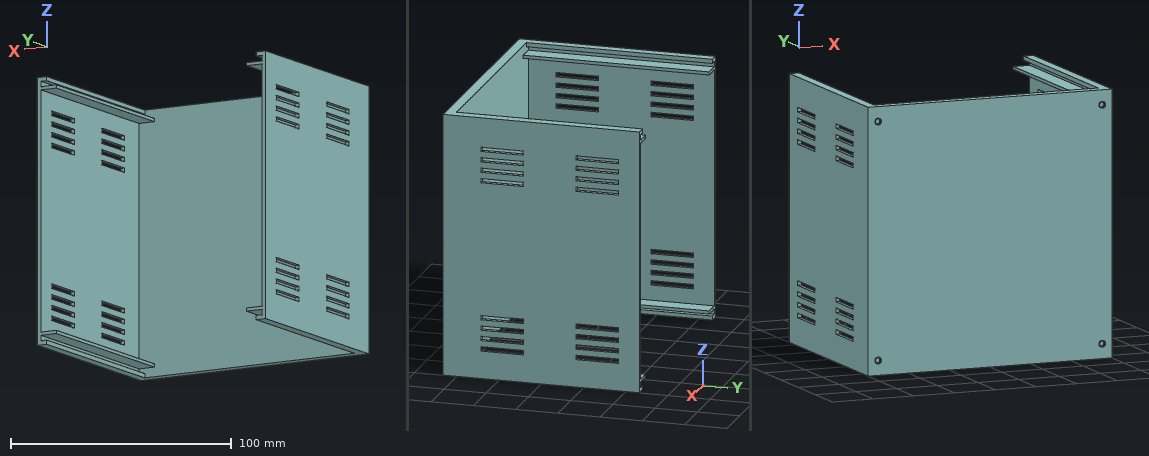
import cadquery as cq

width = 120.0
depth = 93.0
height = 124.0

front_thickness = 5.0
side_thickness = 2.0
lip_width = 5.0
lip_thickness = 2.0
ledge_width = 10.0
ledge_thickness = 1.5
groove_height = 2.5

entry_diameter = 3.1
pilot_diameter = 2.5
entry_depth = 0.4
pilot_depth = 1.2
hole_side_inset = 5.0
hole_end_inset = 7.0

slot_length = 20.0
slot_height = 2.0
slot_pitch = 5.0
slots_per_group = 4
slot_group_centers_y = (-18.5, 26.5)
slot_group_centers_z = (-40.4, 39.5)

front_y = -depth / 2
inner_front_y = front_y + front_thickness
inner_depth = depth - front_thickness


def make_front_plate():
    return cq.Workplane("XY").box(width, front_thickness, height).translate(
        (0, front_y + front_thickness / 2, 0)
    )


def make_side_strip(side, strip_width, bottom_z, strip_height):
    """Strip running back from the front plate, flush with the outer face of one side."""
    return cq.Workplane("XY").box(strip_width, inner_depth, strip_height).translate(
        (
            side * (width - strip_width) / 2,
            inner_front_y + inner_depth / 2,
            bottom_z + strip_height / 2,
        )
    )


def make_side(side):
    """Thin wall with a lip, a groove and a wider ledge at both its top and bottom edge."""
    wall = make_side_strip(side, side_thickness, -height / 2, height)
    lip_z = height / 2 - lip_thickness
    ledge_z = lip_z - groove_height - ledge_thickness
    lip = make_side_strip(side, lip_width, lip_z, lip_thickness)
    ledge = make_side_strip(side, ledge_width, ledge_z, ledge_thickness)
    rails = lip.union(ledge)
    return wall.union(rails).union(rails.mirror("XY"))


def make_screw_holes():
    centers = [
        (side * (width / 2 - hole_side_inset), end * (height / 2 - hole_end_inset))
        for side in (-1, 1)
        for end in (-1, 1)
    ]
    front_face = cq.Workplane("XZ", origin=(0, front_y, 0)).pushPoints(centers)
    entry = front_face.circle(entry_diameter / 2).extrude(-entry_depth)
    pilot = front_face.circle(pilot_diameter / 2).extrude(-pilot_depth)
    return entry.union(pilot)


def make_vent_slots():
    """Slots that pass through both side walls."""
    first_offset = -slot_pitch * (slots_per_group - 1) / 2
    centers = [
        (y, z + first_offset + row * slot_pitch)
        for y in slot_group_centers_y
        for z in slot_group_centers_z
        for row in range(slots_per_group)
    ]
    return (
        cq.Workplane("YZ")
        .pushPoints(centers)
        .rect(slot_length, slot_height)
        .extrude(width / 2, both=True)
    )


body = make_front_plate().union(make_side(-1)).union(make_side(1))
result = body.cut(make_screw_holes()).cut(make_vent_slots())